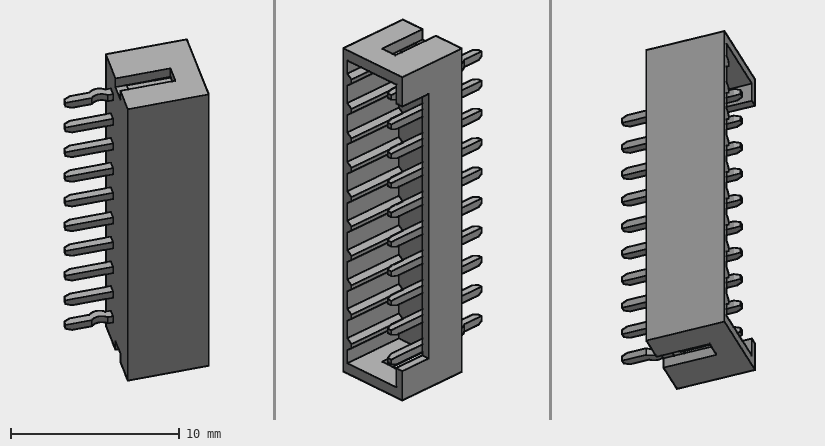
import cadquery as cq

pin_count = 10
housing_length = 22.0
housing_size = 5.0
pitch = housing_length / (pin_count + 1)
row_length = pitch * (pin_count - 1)

side_wall = 0.53
far_wall = 0.35
end_wall = 0.7
floor = 0.68
window_floor = 2.8

slot_left = 2.2
slot_width = 1.12
slot_depth = 3.39

rib_base = 0.81
rib_crest = 0.29
rib_height = 0.35

pin_x = 1.4
pin_size = 0.5
pin_tail = 2.9
mate_gap = 0.33
tip_size = 0.3
tip_length = 0.37

kink_start = 0.33
kink_length = 1.0
kink_offset = 0.21


def block(x_min, x_max, y_min, y_max, length):
    """Box with the given X and Y limits, centred on Z = 0."""
    width = x_max - x_min
    depth = y_max - y_min
    centre = ((x_min + x_max) / 2, (y_min + y_max) / 2, 0)
    return cq.Workplane("XY").box(width, depth, length).translate(centre)


def make_housing():
    shell = block(0, housing_size, 0, housing_size, housing_length)
    inner_length = housing_length - 2 * end_wall
    cavity = block(side_wall, housing_size - far_wall, floor, housing_size, inner_length)
    window = block(0, side_wall, window_floor, housing_size, row_length)

    slot_column = block(slot_left, slot_left + slot_width, 0, slot_depth, housing_length)
    between_ends = block(0, housing_size, 0, housing_size, inner_length)
    end_slots = slot_column.cut(between_ends)
    return shell.cut(cavity).cut(window).cut(end_slots)


def make_rib(z):
    wall_x = housing_size - far_wall
    profile = [
        (wall_x, z - rib_base / 2),
        (wall_x - rib_height, z - rib_crest / 2),
        (wall_x - rib_height, z + rib_crest / 2),
        (wall_x, z + rib_base / 2),
    ]
    return (
        cq.Workplane("XZ", origin=(0, housing_size, 0))
        .polyline(profile)
        .close()
        .extrude(housing_size - floor)
    )


def make_tip(y_base, y_end, z):
    """Square taper from the full pin section at y_base to the blunt end at y_end."""
    return (
        cq.Workplane("XZ", origin=(pin_x, y_base, z))
        .rect(pin_size, pin_size)
        .workplane(offset=y_base - y_end)
        .rect(tip_size, tip_size)
        .loft(ruled=True)
    )


def make_pin(z, kinked):
    left = pin_x - pin_size / 2
    right = pin_x + pin_size / 2
    tail_base = tip_length - pin_tail
    mate_end = housing_size - mate_gap
    mate_base = mate_end - tip_length
    kink_end = -kink_start - kink_length
    kink_middle = -kink_start - kink_length / 2

    outline = cq.Workplane("XY", origin=(0, 0, z - pin_size / 2)).moveTo(left, mate_base)
    if kinked:
        outline = (
            outline.lineTo(left, -kink_start)
            .threePointArc((left - kink_offset, kink_middle), (left, kink_end))
            .lineTo(left, tail_base)
            .lineTo(right, tail_base)
            .lineTo(right, kink_end)
            .threePointArc((right - kink_offset, kink_middle), (right, -kink_start))
        )
    else:
        outline = outline.lineTo(left, tail_base).lineTo(right, tail_base)
    shank = outline.lineTo(right, mate_base).close().extrude(pin_size)
    return shank.union(make_tip(mate_base, mate_end, z)).union(make_tip(tail_base, -pin_tail, z))


result = make_housing()
for index in range(pin_count):
    pin_z = index * pitch - row_length / 2
    outermost = index in (0, pin_count - 1)
    result = result.union(make_rib(pin_z)).union(make_pin(pin_z, outermost))